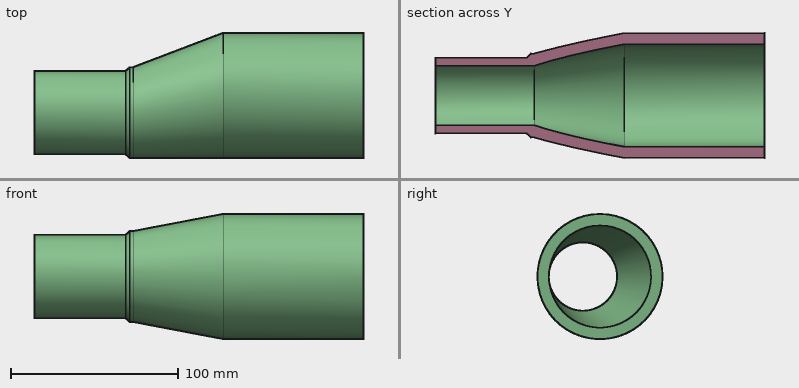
import cadquery as cq

length = 197.0
large_diameter = 75.0
spigot_diameter = 50.0
collar_diameter = 54.5

spigot_end = 54.5
collar_start = 57.1
collar_end = 59.1
cone_end = 112.9

spigot_bore = 40.8
large_bore = large_diameter * spigot_bore / spigot_diameter

spigot_axis_y = (collar_diameter - large_diameter) / 2


def section(x, y, diameter):
    """Circle wire normal to X, centred at (x, y, 0)."""
    return cq.Wire.makeCircle(diameter / 2, cq.Vector(x, y, 0), cq.Vector(1, 0, 0))


def round_body(stations):
    """Join straight and conical stretches through (x, axis y, diameter) stations."""
    body = cq.Workplane("YZ")
    for start, end in zip(stations, stations[1:]):
        stretch = cq.Solid.makeLoft([section(*start), section(*end)], True)
        body = body.union(cq.Workplane(obj=stretch))
    return body


outside = round_body([
    (0, spigot_axis_y, spigot_diameter),
    (spigot_end, spigot_axis_y, spigot_diameter),
    (collar_start, spigot_axis_y, collar_diameter),
    (collar_end, spigot_axis_y, collar_diameter),
    (cone_end, 0, large_diameter),
    (length, 0, large_diameter),
])

bore = round_body([
    (0, spigot_axis_y, spigot_bore),
    (collar_end, spigot_axis_y, spigot_bore),
    (cone_end, 0, large_bore),
    (length, 0, large_bore),
])

result = outside.cut(bore)